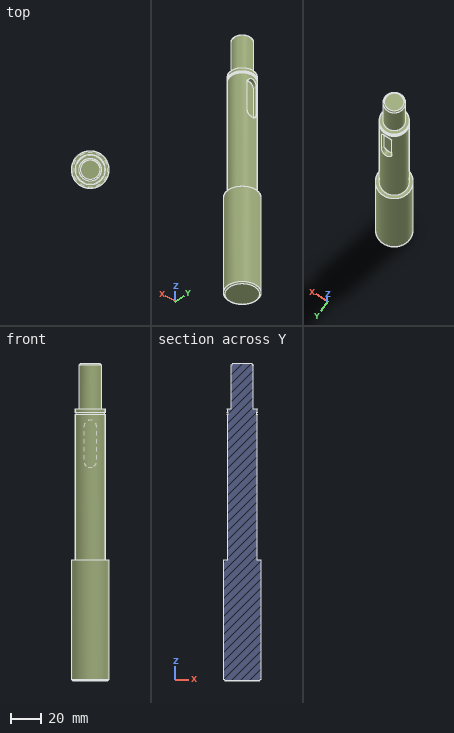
import cadquery as cq

total_length = 210.0
base_diameter = 25.0
shaft_diameter = 20.0
pin_diameter = 15.0

base_length = 80.0
pin_length = 30.0
end_chamfer = 1.0

collar_length = 2.5
groove_width = 1.3
groove_depth = 0.52

keyway_length = 31.5
keyway_width = 8.0
keyway_depth = 3.5
keyway_offset = 3.5

shoulder_z = total_length - pin_length
groove_z = shoulder_z - collar_length - groove_width


def cylinder(diameter, bottom_z, length):
    return cq.Workplane("XY").workplane(offset=bottom_z).circle(diameter / 2).extrude(length)


def stepped_body():
    base = cylinder(base_diameter, 0, base_length).faces("<Z").chamfer(end_chamfer)
    shaft = cylinder(shaft_diameter, base_length, shoulder_z - base_length)
    pin = cylinder(pin_diameter, shoulder_z, pin_length).faces(">Z").chamfer(end_chamfer)
    return base.union(shaft).union(pin)


def ring_groove():
    outer = cylinder(base_diameter, groove_z, groove_width)
    core = cylinder(shaft_diameter - 2 * groove_depth, groove_z, groove_width)
    return outer.cut(core)


def keyway():
    floor_y = shaft_diameter / 2 - keyway_depth
    center_z = groove_z - keyway_offset - keyway_length / 2
    return (
        cq.Workplane("XZ")
        .workplane(offset=-floor_y)
        .center(0, center_z)
        .slot2D(keyway_length, keyway_width, 90)
        .extrude(-2 * keyway_depth)
    )


result = stepped_body().cut(ring_groove()).cut(keyway())